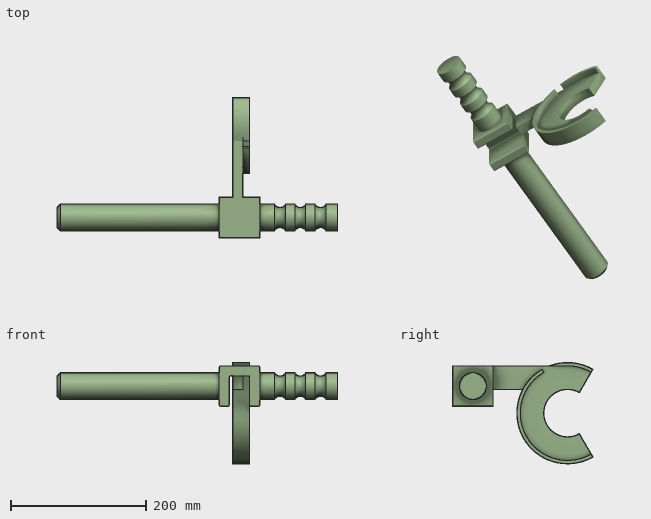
import cadquery as cq
import math

rod_length = 415.0
rod_radius = 20.0
rod_tip_chamfer = 5.0

groove_count = 3
groove_pitch = 30.0
first_groove_x = 330.0
groove_half_width = 8.0
groove_depth = 5.0
groove_wall = 1.0

saddle_size = 60.0
saddle_start_x = 240.0
saddle_wall = 15.0
saddle_edge_radius = 2.5

claw_outer_radius = 75.0
claw_inner_radius = 35.0
claw_center_y = 140.0
claw_center_z = -40.0
claw_thickness = 25.0
claw_opening_angle = 120.0
lower_rim_start_angle = 120.0

arm_thickness = 15.0

saddle_half = saddle_size / 2
slot_start_x = saddle_start_x + saddle_wall
slot_width = saddle_size - 2 * saddle_wall
slot_end_x = slot_start_x + slot_width
claw_start_x = slot_end_x - claw_thickness
arm_bottom_z = claw_center_z + claw_inner_radius
arm_height = saddle_half - arm_bottom_z
rim_start_x = claw_start_x + arm_thickness
rim_thickness = claw_thickness - arm_thickness

arm_top_above_claw = saddle_half - claw_center_z
rim_inner_radius = arm_top_above_claw

claw_start_angle = claw_opening_angle / 2
claw_end_angle = 360.0 - claw_start_angle
upper_rim_end_angle = 180.0 - math.degrees(math.asin(arm_top_above_claw / claw_outer_radius))
upper_rim_tangent_angle = 90.0


def make_rod():
    """Solid round rod with a chamfered tip and the grip grooves."""
    rod = cq.Workplane("YZ").circle(rod_radius).extrude(rod_length)
    rod = rod.faces("<X").chamfer(rod_tip_chamfer)
    for index in range(groove_count):
        rod = rod.cut(make_groove(first_groove_x + index * groove_pitch))
    return rod


def make_groove(center_x):
    """Ring-shaped cutter: short straight walls and an arc-shaped bottom."""
    clear_radius = rod_radius + groove_depth
    arc_edge_radius = rod_radius - groove_wall
    start_x = center_x - groove_half_width
    end_x = center_x + groove_half_width
    return (
        cq.Workplane("XY")
        .moveTo(start_x, clear_radius)
        .lineTo(start_x, arc_edge_radius)
        .threePointArc((center_x, rod_radius - groove_depth), (end_x, arc_edge_radius))
        .lineTo(end_x, clear_radius)
        .close()
        .revolve(360, (0, 0, 0), (1, 0, 0))
    )


def make_saddle_block():
    """Plain cube that encloses the saddle."""
    block = cq.Workplane("XY").box(saddle_size, saddle_size, saddle_size, centered=(False, True, True))
    return block.translate((saddle_start_x, 0, 0))


def make_slot():
    """Cutter for the space between the saddle legs, rounded along its top corners."""
    slot = cq.Workplane("XY").box(slot_width, saddle_size, saddle_size, centered=(False, True, True))
    slot = slot.edges("|Y and >Z").fillet(saddle_edge_radius)
    return slot.translate((slot_start_x, 0, -saddle_wall))


def make_saddle():
    """Inverted U, rounded along its top corners, the ends of its legs and inside its slot."""
    saddle = make_saddle_block().cut(make_slot())
    return saddle.edges("|Y and (<Z or >Z)").fillet(saddle_edge_radius)


def claw_point(radius, angle):
    """Point at the given radius and angle about the claw's centre."""
    turn = math.radians(angle)
    return (radius * math.cos(turn), radius * math.sin(turn))


def make_ring_sector(start_x, thickness, inner_radius, start_angle, outer_end_angle, inner_end_angle):
    """Ring sector about the claw's centre; its end face joins the two end points."""
    outer_middle_angle = (start_angle + outer_end_angle) / 2
    inner_middle_angle = (start_angle + inner_end_angle) / 2
    return (
        cq.Workplane("YZ", origin=(start_x, claw_center_y, claw_center_z))
        .moveTo(*claw_point(inner_radius, start_angle))
        .lineTo(*claw_point(claw_outer_radius, start_angle))
        .threePointArc(
            claw_point(claw_outer_radius, outer_middle_angle),
            claw_point(claw_outer_radius, outer_end_angle),
        )
        .lineTo(*claw_point(inner_radius, inner_end_angle))
        .threePointArc(
            claw_point(inner_radius, inner_middle_angle),
            claw_point(inner_radius, start_angle),
        )
        .close()
        .extrude(thickness)
    )


def make_claw():
    """Claw plate with an upper and a lower stretch of rim, parted by a short gap."""
    plate = make_ring_sector(
        claw_start_x, arm_thickness, claw_inner_radius, claw_start_angle, claw_end_angle, claw_end_angle
    )
    upper_rim = make_ring_sector(
        rim_start_x,
        rim_thickness,
        rim_inner_radius,
        claw_start_angle,
        upper_rim_end_angle,
        upper_rim_tangent_angle,
    )
    lower_rim = make_ring_sector(
        rim_start_x,
        rim_thickness,
        rim_inner_radius,
        lower_rim_start_angle,
        claw_end_angle,
        claw_end_angle,
    )
    return plate.union(upper_rim).union(lower_rim)


def make_arm():
    """Flat bar from the back of the saddle into the claw plate."""
    arm_length = claw_center_y - saddle_half
    arm = cq.Workplane("XY").box(arm_thickness, arm_length, arm_height, centered=False)
    return arm.translate((claw_start_x, saddle_half, arm_bottom_z))


rod_ends = make_rod().cut(make_saddle_block())
result = rod_ends.union(make_saddle()).union(make_arm()).union(make_claw())